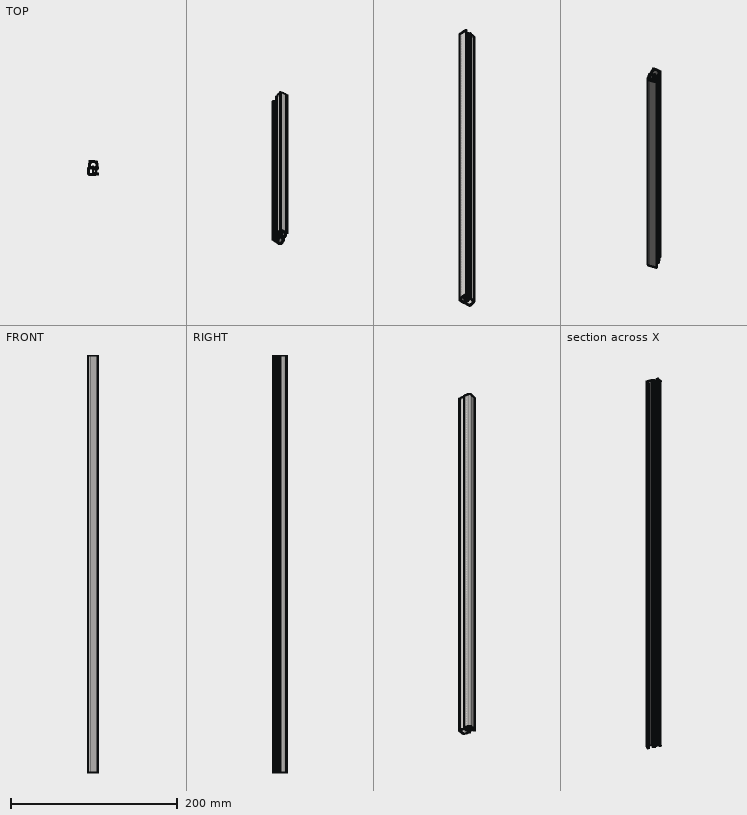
import cadquery as cq
import math

length = 500.0
width = 12.5
height = 17.47
right = width / 2
left = -width / 2
top = height / 2
bottom = -height / 2

corner_radius = 2.9
clip_top = 0.92
wall = 1.8
leg_slope = math.radians(3.8)
upper_corner_y = -1.4
corner_x = left + corner_radius
lower_corner_y = bottom + corner_radius
tip_fillet = 0.5

carrier_thickness = 0.8
carrier_inset = (wall - carrier_thickness) / 2
carrier_end_cover = 1.0
carrier_end = right - carrier_end_cover

fin_root_starts = (0.8, 4.4)
fin_root_width = 1.8
fin_tip_width = 0.9
fin_lean = 1.2
fin_gap = 1.7
fin_root_depth = wall / 2
channel_middle_y = -3.8

bulb_x = 0.3
bulb_y = 3.4
bulb_radius = 5.4
bulb_wall = 1.5
rib_radius = 1.05

lip_radius = 27.7
lip_thickness = 0.6
lip_x = -2.05
lip_left_angle = math.radians(95.5)
lip_right_angle = math.radians(74.5)


base = cq.Workplane("XY").workplane(offset=-length / 2)


def extrude(outline):
    return outline.close().extrude(length)


def polar(x, y, radius, angle):
    return (x + radius * math.cos(angle), y + radius * math.sin(angle))


def u_region(inset, end_x):
    """Everything the clip surrounds, inset from its outer surface and cut off at end_x."""
    radius = corner_radius - inset
    leg_y = clip_top - inset
    start_angle = math.pi - math.asin((leg_y - upper_corner_y) / radius)
    end_angle = 1.5 * math.pi + leg_slope
    upper_start = polar(corner_x, upper_corner_y, radius, start_angle)
    upper_mid = polar(corner_x, upper_corner_y, radius, (start_angle + math.pi) / 2)
    lower_mid = polar(corner_x, lower_corner_y, radius, (end_angle + math.pi) / 2)
    lower_end = polar(corner_x, lower_corner_y, radius, end_angle)
    leg_end_y = lower_end[1] + (end_x - lower_end[0]) * math.tan(leg_slope)
    return extrude(
        base.moveTo(end_x, leg_y)
        .lineTo(*upper_start)
        .threePointArc(upper_mid, (left + inset, upper_corner_y))
        .lineTo(left + inset, lower_corner_y)
        .threePointArc(lower_mid, lower_end)
        .lineTo(end_x, leg_end_y)
    )


def fin(root_x, root_y, side):
    """One fin; side is +1 for the upper leg and -1 for the lower leg."""
    tip_y = channel_middle_y + side * fin_gap / 2
    tip_x = root_x - fin_lean
    return extrude(
        base.moveTo(root_x, root_y)
        .lineTo(root_x + fin_root_width, root_y)
        .lineTo(tip_x + fin_tip_width, tip_y)
        .lineTo(tip_x, tip_y)
    )


def disc(x, y, radius):
    return base.center(x, y).circle(radius).extrude(length)


def make_clip():
    clip = u_region(0, right).edges("|Z and >X").fillet(tip_fillet)
    clip = clip.cut(u_region(wall, right))
    upper_root_y = clip_top - fin_root_depth
    for root_x in fin_root_starts:
        lower_root_y = bottom + fin_root_depth + (root_x - corner_x) * math.tan(leg_slope)
        clip = clip.union(fin(root_x, upper_root_y, 1))
        clip = clip.union(fin(root_x, lower_root_y, -1))
    return clip


def make_lip():
    lip_y = top - lip_radius
    inner = lip_radius - lip_thickness
    mid_angle = (lip_left_angle + lip_right_angle) / 2
    return extrude(
        base.moveTo(*polar(lip_x, lip_y, lip_radius, lip_left_angle))
        .threePointArc(
            polar(lip_x, lip_y, lip_radius, mid_angle),
            polar(lip_x, lip_y, lip_radius, lip_right_angle),
        )
        .lineTo(*polar(lip_x, lip_y, inner, lip_right_angle))
        .threePointArc(
            polar(lip_x, lip_y, inner, mid_angle),
            polar(lip_x, lip_y, inner, lip_left_angle),
        )
    )


def make_bulb():
    above_clip = base.center(0, clip_top + height / 2).rect(width, height).extrude(length)
    below_lip = disc(lip_x, top - lip_radius, lip_radius)
    bulb = disc(bulb_x, bulb_y, bulb_radius).cut(disc(bulb_x, bulb_y, bulb_radius - bulb_wall))
    bulb = bulb.union(disc(0, clip_top, rib_radius))
    return bulb.intersect(above_clip).intersect(below_lip)


carrier = u_region(carrier_inset, carrier_end)
carrier = carrier.cut(u_region(carrier_inset + carrier_thickness, carrier_end))
rubber = make_clip().union(make_bulb()).union(make_lip()).cut(carrier)

result = cq.Compound.makeCompound([rubber.val(), carrier.val()])